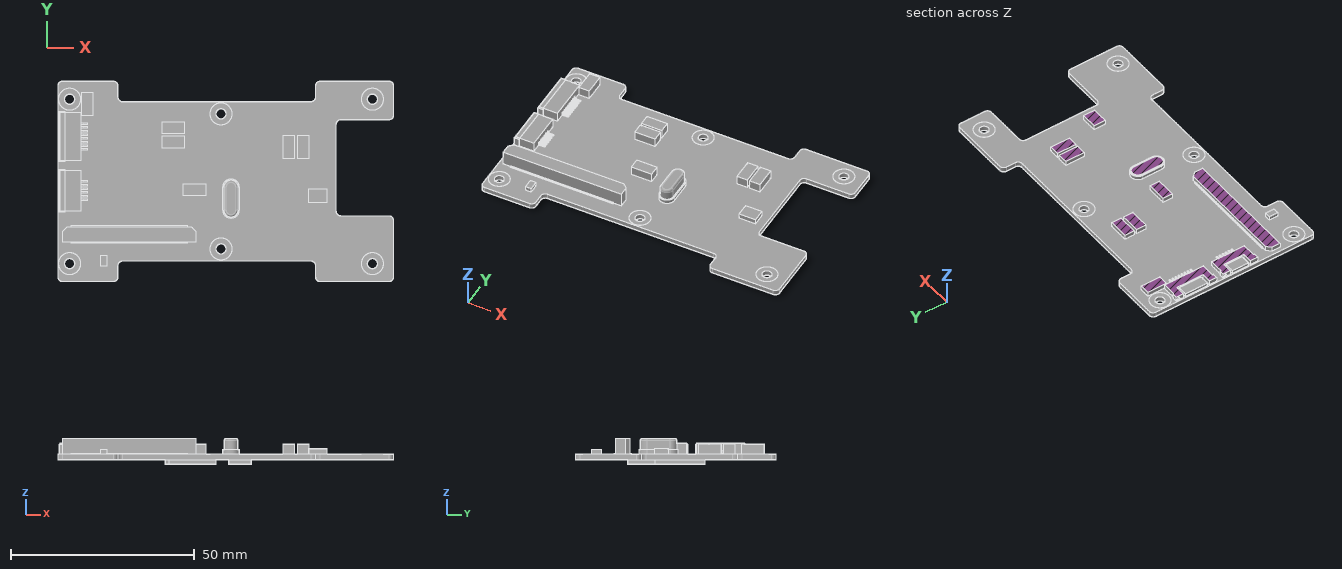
import cadquery as cq

BOARD_LENGTH = 91.44
BOARD_WIDTH = 54.61
BOARD_THICKNESS = 1.6
CORNER_RADIUS = 1.27
SIDE_NOTCH_START = 16.38
SIDE_NOTCH_END = 70.15
SIDE_NOTCH_DEPTH = 5.59
END_NOTCH_START = 75.8
END_NOTCH_LOW = 17.95
END_NOTCH_HIGH = 44.07

HOLE_DIAMETER = 2.7
PAD_DIAMETER = 6.0
PAD_THICKNESS = 0.02
OUTER_HOLE_XS = (3.2, 85.66)
OUTER_HOLE_EDGE = 4.92
MIDDLE_HOLE_X = 44.43
MIDDLE_HOLE_EDGE = 8.92

MOULDED_LENGTH = 6.25
MOULDED_WIDTH = 3.2
MOULDED_HEIGHT = 2.7
MOULDED_ALONG_X = ((28.3, 40.3), (28.3, 36.4), (34.1, 23.4))
MOULDED_ALONG_Y = ((6.4, 45.2), (61.3, 33.5), (65.2, 33.5))

LOW_BLOCK = (68.3, 21.5, 5.05, 3.8, 1.5)
CHIP_BLOCK = (11.6, 4.3, 1.75, 2.85, 1.25)

CRYSTAL_X = 47.15
CRYSTAL_Y = 22.62
CRYSTAL_BASE_LENGTH = 10.7
CRYSTAL_BASE_WIDTH = 4.5
CRYSTAL_BASE_HEIGHT = 1.2
CAN_LENGTH = 10.05
CAN_WIDTH = 3.8
CAN_HEIGHT = 4.27
CAN_ROUNDING = 0.6

HEADER_X = 1.25
HEADER_Y = 10.85
HEADER_LENGTH = 36.4
HEADER_WIDTH = 4.05
HEADER_HEIGHT = 4.27
HEADER_CHAMFER = 1.25
CONTACT_X = 3.6
CONTACT_LENGTH = 31.7
CONTACT_OVERHANG = 0.33
CONTACT_HEIGHT = 0.22

SOCKETS = ((8, 39.5), (6, 24.8))
PIN_PITCH = 1.0
SOCKET_FRONT = 0.35
SOCKET_LIP_BACK = 1.9
SOCKET_BACK = 6.25
SOCKET_BODY_MARGIN = 6.0
SOCKET_LIP_MARGIN = 6.6
SOCKET_LIP_HEIGHT = 2.95
SOCKET_BODY_HEIGHT = 2.9
SOCKET_LIP_CHAMFER = 0.3
MOUTH_MARGIN = 1.6
MOUTH_HEIGHT = 1.55
TONGUE_MARGIN = 0.4
TONGUE_HEIGHT = 1.0
MOUTH_DEPTH = 3.0
ARROW_WIDTH = 1.2
ARROW_HEIGHT = 1.1
ARROW_DEPTH = 0.1
ARROW_INSET = 0.9
PIN_WIDTH = 0.4
PIN_END = 8.1
PIN_FOOT_HEIGHT = 0.2
PIN_ROOT_HEIGHT = 1.0

UNDER_HEIGHT = 1.22
SQUARE_CHIP_X = 29.2
SQUARE_CHIP_Y = 21.4
SQUARE_CHIP_SIZE = 13.9
SQUARE_CHIP_CHAMFER = 1.0
SMALL_CHIP = (46.5, 14.2, 6.2, 7.5)

SINK = 0.2


def on_board(x, y, length, width, height):
    """Rectangular block on the top face, its lower left corner at (x, y)."""
    block = cq.Workplane("XY").box(length, width, height + SINK, centered=False)
    return block.translate((x, y, BOARD_THICKNESS - SINK))


def under_board(x, y, length, width):
    """Rectangular block hanging below the underside."""
    block = cq.Workplane("XY").box(length, width, UNDER_HEIGHT + SINK, centered=False)
    return block.translate((x, y, -UNDER_HEIGHT))


def make_board():
    notch_top = BOARD_WIDTH - SIDE_NOTCH_DEPTH
    outline = [
        (0, 0),
        (SIDE_NOTCH_START, 0),
        (SIDE_NOTCH_START, SIDE_NOTCH_DEPTH),
        (SIDE_NOTCH_END, SIDE_NOTCH_DEPTH),
        (SIDE_NOTCH_END, 0),
        (BOARD_LENGTH, 0),
        (BOARD_LENGTH, END_NOTCH_LOW),
        (END_NOTCH_START, END_NOTCH_LOW),
        (END_NOTCH_START, END_NOTCH_HIGH),
        (BOARD_LENGTH, END_NOTCH_HIGH),
        (BOARD_LENGTH, BOARD_WIDTH),
        (SIDE_NOTCH_END, BOARD_WIDTH),
        (SIDE_NOTCH_END, notch_top),
        (SIDE_NOTCH_START, notch_top),
        (SIDE_NOTCH_START, BOARD_WIDTH),
        (0, BOARD_WIDTH),
    ]
    board = cq.Workplane("XY").polyline(outline).close().extrude(BOARD_THICKNESS)
    return board.edges("|Z").fillet(CORNER_RADIUS)


def hole_positions():
    positions = []
    for y in (OUTER_HOLE_EDGE, BOARD_WIDTH - OUTER_HOLE_EDGE):
        positions += [(x, y) for x in OUTER_HOLE_XS]
    for y in (MIDDLE_HOLE_EDGE, BOARD_WIDTH - MIDDLE_HOLE_EDGE):
        positions.append((MIDDLE_HOLE_X, y))
    return positions


def make_pads():
    pads = cq.Workplane("XY", origin=(0, 0, BOARD_THICKNESS - SINK)).pushPoints(hole_positions())
    return pads.circle(PAD_DIAMETER / 2).extrude(SINK + PAD_THICKNESS)


def make_holes():
    holes = cq.Workplane("XY").pushPoints(hole_positions()).circle(HOLE_DIAMETER / 2)
    return holes.extrude(BOARD_THICKNESS + PAD_THICKNESS)


def make_crystal():
    bottom = cq.Workplane("XY", origin=(CRYSTAL_X, CRYSTAL_Y, BOARD_THICKNESS - SINK))
    base = bottom.slot2D(CRYSTAL_BASE_LENGTH, CRYSTAL_BASE_WIDTH, 90).extrude(CRYSTAL_BASE_HEIGHT + SINK)
    can = bottom.slot2D(CAN_LENGTH, CAN_WIDTH, 90).extrude(CAN_HEIGHT + SINK)
    return base.union(can.faces(">Z").edges().fillet(CAN_ROUNDING))


def make_header():
    body = on_board(HEADER_X, HEADER_Y, HEADER_LENGTH, HEADER_WIDTH, HEADER_HEIGHT)
    body = body.edges("|Z and >Y").chamfer(HEADER_CHAMFER)
    contacts = on_board(
        CONTACT_X,
        HEADER_Y - CONTACT_OVERHANG,
        CONTACT_LENGTH,
        HEADER_WIDTH + 2 * CONTACT_OVERHANG,
        CONTACT_HEIGHT,
    )
    return body.union(contacts)


def make_pin(middle_y):
    """Contact that leaves the back of a socket and curves down to a flat foot."""
    rise = PIN_ROOT_HEIGHT - PIN_FOOT_HEIGHT
    profile = (
        cq.Workplane("XZ", origin=(SOCKET_BACK, middle_y + PIN_WIDTH / 2, BOARD_THICKNESS))
        .moveTo(-SINK, -SINK)
        .lineTo(PIN_END - SOCKET_BACK, -SINK)
        .lineTo(PIN_END - SOCKET_BACK, PIN_FOOT_HEIGHT)
        .lineTo(rise, PIN_FOOT_HEIGHT)
        .radiusArc((0, PIN_ROOT_HEIGHT), rise)
        .lineTo(-SINK, PIN_ROOT_HEIGHT)
        .close()
    )
    return profile.extrude(PIN_WIDTH)


def make_arrow(middle_y):
    """Triangle that is engraved in the front of a socket to mark its first pin."""
    triangle = (
        cq.Workplane("YZ", origin=(SOCKET_FRONT, middle_y, BOARD_THICKNESS))
        .moveTo(-ARROW_WIDTH / 2, 0)
        .lineTo(ARROW_WIDTH / 2, 0)
        .lineTo(0, ARROW_HEIGHT)
        .close()
    )
    return triangle.extrude(ARROW_DEPTH)


def make_socket(pin_count, middle_y):
    pin_span = (pin_count - 1) * PIN_PITCH

    def centred_block(x_start, x_end, margin, height):
        width = pin_span + margin
        return on_board(x_start, middle_y - width / 2, x_end - x_start, width, height)

    lip = centred_block(SOCKET_FRONT, SOCKET_LIP_BACK, SOCKET_LIP_MARGIN, SOCKET_LIP_HEIGHT)
    lip = lip.faces(">Z").edges("<X or |X").chamfer(SOCKET_LIP_CHAMFER)
    body = centred_block(SOCKET_LIP_BACK, SOCKET_BACK, SOCKET_BODY_MARGIN, SOCKET_BODY_HEIGHT)
    mouth_end = SOCKET_FRONT + MOUTH_DEPTH
    mouth = centred_block(SOCKET_FRONT, mouth_end, MOUTH_MARGIN, MOUTH_HEIGHT)
    tongue = centred_block(SOCKET_FRONT, mouth_end, TONGUE_MARGIN, TONGUE_HEIGHT)
    arrow = make_arrow(middle_y + (pin_span + SOCKET_LIP_MARGIN) / 2 - ARROW_INSET)
    socket = lip.union(body).cut(mouth.cut(tongue)).cut(arrow)
    for index in range(pin_count):
        socket = socket.union(make_pin(middle_y - pin_span / 2 + index * PIN_PITCH))
    return socket


def make_square_chip():
    chip = under_board(SQUARE_CHIP_X, SQUARE_CHIP_Y, SQUARE_CHIP_SIZE, SQUARE_CHIP_SIZE)
    return chip.edges("|Z and <X and <Y").chamfer(SQUARE_CHIP_CHAMFER)


result = make_board().union(make_pads()).cut(make_holes())

for x, y in MOULDED_ALONG_X:
    result = result.union(on_board(x, y, MOULDED_LENGTH, MOULDED_WIDTH, MOULDED_HEIGHT))
for x, y in MOULDED_ALONG_Y:
    result = result.union(on_board(x, y, MOULDED_WIDTH, MOULDED_LENGTH, MOULDED_HEIGHT))
for block in (LOW_BLOCK, CHIP_BLOCK):
    result = result.union(on_board(*block))

result = result.union(make_crystal()).union(make_header())
for pin_count, middle_y in SOCKETS:
    result = result.union(make_socket(pin_count, middle_y))
result = result.union(make_square_chip()).union(under_board(*SMALL_CHIP))